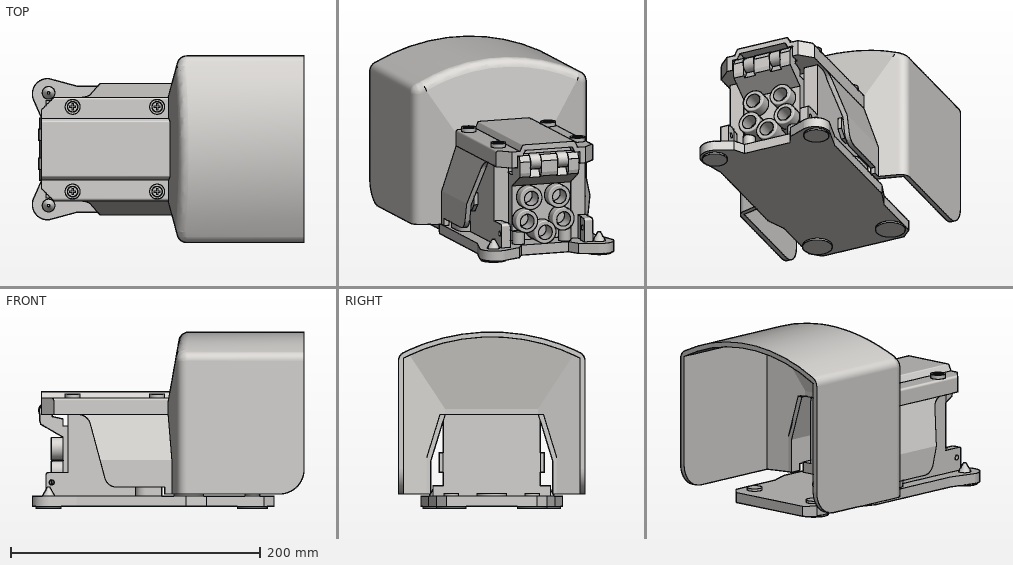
import cadquery as cq
import math


SIDES = (1, -1)

overall_length = 218.24
overall_height = 141.5
hood_width = 150.0

pad_thickness = 1.5
plate_thickness = 8.3
plate_top = pad_thickness + plate_thickness
lobe_radius = 12.5
lobe_x = lobe_radius
lobe_y = 44.3
lobe_start_angle = 198.0
lobe_end_angle = 87.0
plate_half_width = 50.7
plate_neck_start = 35.8
plate_neck_end = 123.2
plate_tail_start = 140.0
plate_tail_half_width = 44.5
plate_end = 194.0
plate_tail_chamfer = 8.2
notch_mouth_x = 7.3
notch_mouth_y = 25.2
notch_floor_x = 16.2
notch_floor_y = 20.3
front_foot = (13.1, 45.2)
front_pad_diameter = 20.3
rear_foot = (176.6, 32.5)
rear_pad_diameter = 24.0
cone_diameter = 10.2
cone_tip_diameter = 2.0
cone_height = 7.2
pivot_disc_x = 125.6
pivot_disc_diameter = 24.0
rear_disc_diameter = 12.0
disc_height = 2.0

housing_start = 28.6
housing_end = 104.0
housing_half_width = 39.0
housing_top = 75.2
channel_half_width = 26.7
channel_end = 36.6
lug_start = 10.9
lug_top = 28.7
lug_width = 7.3
lug_neck_start = 20.2
lug_neck_width = 6.3
lug_round = 2.0
lug_hole_diameter = 4.0
lug_hole_x = 15.7
lug_hole_z = 20.7
ear_start = 82.7
ear_top = 18.2
ear_reach = 8.3
side_block_start = 66.0
side_block_length = 14.0
side_block_bottom = 28.8
side_block_height = 15.8
side_block_bevel = 6.2
side_block_reach = 42.2

panel_start = 24.8
panel_half_width = 25.1
panel_bottom = 20.2
bar_bottom = 56.9
bar_front = 5.9
bar_top = 84.5
bar_end = 16.2
bar_bevel_depth = 2.6
bar_bevel_height = 4.8
bar_chin_depth = 0.9
bar_chin_z = 67.3
bar_face_bottom = 70.3
bar_shelf_front_z = 73.6
bar_shelf_back_z = 71.7
notch_bottom = 66.2
knuckle_diameter = 12.0
knuckle_x = 11.1
knuckle_z = bar_top - knuckle_diameter / 2
knuckle_y = 11.6
knuckle_width = 9.2
pocket_back = 12.0
pocket_knee_z = 72.8
pocket_front = 8.5
pocket_bottom = 66.3
entry_tip = 15.2
entry_diameter = 18.5
entry_bore_diameter = 11.8
entry_bore_depth = 14.0
entry_round = 0.8
entry_centres = ((12.0, 47.6), (-12.0, 47.6), (15.6, 28.9), (-15.6, 28.9), (0.0, 19.1))
post_diameter = 10.2
post_x = 24.2
post_y = 19.8

cover_start = 7.3
cover_end = 112.0
cover_half_width = 41.5
cover_top = 88.4
cover_round = 2.0
cover_corner_chamfer = 10.0
hump_top = 93.6
hump_half_width = 24.8
hump_top_half_width = 22.2
hump_round = 1.3
tunnel_end = bar_end
tunnel_top = 89.0
tunnel_half_width = 22.4
tunnel_top_half_width = 20.0
screw_x = (32.4, 100.2)
screw_y = 34.0
screw_collar_diameter = 12.0
screw_collar_height = 3.2
screw_recess_diameter = 8.5
screw_recess_depth = 1.5
screw_head_diameter = 8.0
screw_head_height = 1.0
screw_slot_length = 5.0
screw_slot_width = 1.2

hood_bottom = 11.3
hood_wall = 4.0
hood_round = 8.0
hood_crown_radius = 160.0
hood_rear_round = 20.0
hood_side_tilt = 15.0
hood_brow_tilt = 10.0
hood_ridge_x = 109.2
hood_ridge_y = 42.2
hood_ridge_z = 86.6

skirt_thickness = 4.0
skirt_foot_y = 52.8
skirt_knee_z = 38.6
skirt_flare = 17.1
skirt_end = 116.0
skirt_start = 44.6
skirt_slope = 15.0
skirt_round = 10.0
skirt_slot_top = 16.9
skirt_slot_end = 106.2


def box(x_range, y_range, z_range):
    """Box between the given limits along each axis."""
    size = [high - low for low, high in (x_range, y_range, z_range)]
    return (
        cq.Workplane("XY")
        .box(*size, centered=False)
        .translate((x_range[0], y_range[0], z_range[0]))
    )


def upright(centre, diameter, z_bottom, height):
    """Vertical cylinder at an (x, y) centre."""
    return cq.Workplane("XY", origin=(*centre, z_bottom)).circle(diameter / 2).extrude(height)


def section_along_x(points, x_start, x_end):
    """Prism of a closed (y, z) outline from x_start to x_end."""
    return cq.Workplane("YZ", origin=(x_start, 0, 0)).polyline(points).close().extrude(x_end - x_start)


def section_along_y(points, y_low, y_high):
    """Prism of a closed (x, z) outline from y_low to y_high."""
    return cq.Workplane("XZ", origin=(0, y_high, 0)).polyline(points).close().extrude(y_high - y_low)


def mirrored(shape):
    """The shape together with its mirror image across the XZ plane."""
    return shape.union(shape.mirror("XZ"))


def lobe_point(angle):
    """Point on the rounded front corner of the base plate."""
    turn = math.radians(angle)
    return (lobe_x + lobe_radius * math.cos(turn), lobe_y + lobe_radius * math.sin(turn))


def make_base_plate():
    """Plate with rounded front lobes, guide cones, rubber pads and the discs inside the hood."""
    half_plate = (
        cq.Workplane("XY", origin=(0, 0, pad_thickness))
        .moveTo(notch_floor_x, 0)
        .lineTo(notch_floor_x, notch_floor_y)
        .lineTo(notch_mouth_x, notch_mouth_y)
        .lineTo(*lobe_point(lobe_start_angle))
        .threePointArc(lobe_point((lobe_start_angle + lobe_end_angle) / 2), lobe_point(lobe_end_angle))
        .lineTo(plate_neck_start, plate_half_width)
        .lineTo(plate_neck_end, plate_half_width)
        .lineTo(plate_tail_start, plate_tail_half_width)
        .lineTo(plate_end - plate_tail_chamfer, plate_tail_half_width)
        .lineTo(plate_end, plate_tail_half_width - plate_tail_chamfer)
        .lineTo(plate_end, 0)
        .close()
        .extrude(plate_thickness)
    )
    cone = (
        cq.Workplane("XY", origin=(*front_foot, plate_top))
        .circle(cone_diameter / 2)
        .workplane(offset=cone_height)
        .circle(cone_tip_diameter / 2)
        .loft()
    )
    half_plate = (
        half_plate.union(cone)
        .union(upright(front_foot, front_pad_diameter, 0, pad_thickness))
        .union(upright(rear_foot, rear_pad_diameter, 0, pad_thickness))
        .union(upright(rear_foot, rear_disc_diameter, plate_top, disc_height))
    )
    return mirrored(half_plate).union(
        upright((pivot_disc_x, 0), pivot_disc_diameter, plate_top, disc_height)
    )


def make_housing():
    """Housing walls around the cable channel, with front lugs, side blocks and rear ears."""
    body = box(
        (housing_start, housing_end),
        (-housing_half_width, housing_half_width),
        (plate_top, housing_top),
    )
    channel = box(
        (housing_start, channel_end),
        (-channel_half_width, channel_half_width),
        (plate_top, housing_top),
    )
    lug = (
        box(
            (lug_start, housing_start),
            (housing_half_width - lug_width, housing_half_width),
            (plate_top, lug_top),
        )
        .edges("<X and >Z")
        .fillet(lug_round)
    )
    neck_gap = box(
        (lug_neck_start, housing_start),
        (housing_half_width - lug_width, housing_half_width - lug_neck_width),
        (plate_top, lug_top),
    )
    lug_hole = (
        cq.Workplane("XZ", origin=(lug_hole_x, housing_half_width, lug_hole_z))
        .circle(lug_hole_diameter / 2)
        .extrude(lug_width)
    )
    ear_centre = (ear_start + ear_reach, housing_half_width)
    ear = box(
        (ear_centre[0], housing_end),
        (housing_half_width, housing_half_width + ear_reach),
        (plate_top, ear_top),
    ).union(upright(ear_centre, 2 * ear_reach, plate_top, ear_top - plate_top))
    block_end = side_block_start + side_block_length
    block_top = side_block_bottom + side_block_height
    side_block = section_along_y(
        [
            (side_block_start, block_top),
            (side_block_start, side_block_bottom + side_block_bevel),
            (side_block_start + side_block_bevel, side_block_bottom),
            (block_end, side_block_bottom),
            (block_end, block_top),
        ],
        housing_half_width,
        side_block_reach,
    )
    attachments = lug.cut(lug_hole).cut(neck_gap).union(ear).union(side_block)
    return body.cut(channel).union(mirrored(attachments))


def make_entry(y, z):
    """Round cable entry, from its rounded tip to the back of the panel."""
    return (
        cq.Workplane("YZ", origin=(entry_tip, y, z))
        .circle(entry_diameter / 2)
        .extrude(channel_end - entry_tip)
        .faces("<X")
        .edges()
        .fillet(entry_round)
    )


def make_entry_bore(y, z):
    """Blind bore of a cable entry."""
    return (
        cq.Workplane("YZ", origin=(entry_tip, y, z))
        .circle(entry_bore_diameter / 2)
        .extrude(entry_bore_depth)
    )


def make_cable_panel():
    """Panel with the hinge bar along its top edge, the hinge knuckles, posts and cable entries."""
    bar_bevel_bottom = bar_top - bar_bevel_height
    profile = [
        (panel_start, panel_bottom),
        (panel_start, bar_bottom),
        (bar_front + bar_chin_depth, bar_chin_z),
        (bar_front, bar_face_bottom),
        (bar_front, bar_bevel_bottom),
        (bar_front + bar_bevel_depth, bar_top),
        (bar_end, bar_top),
        (bar_end, bar_shelf_front_z),
        (panel_start, bar_shelf_back_z),
        (panel_start, notch_bottom),
        (channel_end, notch_bottom),
        (channel_end, panel_bottom),
    ]
    panel = section_along_y(profile, -panel_half_width, panel_half_width)

    pocket_profile = [
        (0, bar_top),
        (knuckle_x, bar_top),
        (pocket_back, pocket_knee_z),
        (pocket_front, pocket_bottom),
        (0, pocket_bottom),
    ]
    for side in SIDES:
        low = side * knuckle_y - knuckle_width / 2
        high = side * knuckle_y + knuckle_width / 2
        knuckle = (
            cq.Workplane("XZ", origin=(knuckle_x, high, knuckle_z))
            .circle(knuckle_diameter / 2)
            .extrude(knuckle_width)
        )
        panel = panel.cut(section_along_y(pocket_profile, low, high)).union(knuckle)
        panel = panel.union(
            upright((post_x, side * post_y), post_diameter, plate_top, panel_bottom - plate_top)
        )
    for y, z in entry_centres:
        panel = panel.union(make_entry(y, z))
    for y, z in entry_centres:
        panel = panel.cut(make_entry_bore(y, z))
    return panel


def make_screw():
    """Collar with a recessed cross-slot screw head, standing on the cover at the origin."""
    floor = screw_collar_height - screw_recess_depth
    collar = upright((0, 0), screw_collar_diameter, 0, screw_collar_height)
    recess = upright((0, 0), screw_recess_diameter, floor, screw_recess_depth)
    head = upright((0, 0), screw_head_diameter, floor, screw_head_height)
    slot = cq.Workplane("XY").box(
        screw_slot_length, screw_slot_width, 2 * screw_head_height
    ).translate((0, 0, floor + screw_head_height))
    cross = slot.union(slot.rotate((0, 0, 0), (0, 0, 1), 90))
    return collar.cut(recess).union(head.cut(cross))


def make_cover():
    """Cover with a raised middle, hollowed at the cable end, and its four screws."""
    slab = box(
        (cover_start, cover_end), (-cover_half_width, cover_half_width), (housing_top, cover_top)
    )
    slab = slab.edges("|Z and <X").chamfer(cover_corner_chamfer)
    slab = slab.edges("|X and >Z").fillet(cover_round)
    hump = section_along_x(
        [
            (-hump_half_width, cover_top),
            (-hump_top_half_width, hump_top),
            (hump_top_half_width, hump_top),
            (hump_half_width, cover_top),
        ],
        cover_start,
        cover_end,
    )
    hump = hump.edges("|X and >Z").fillet(hump_round)
    tunnel = section_along_x(
        [
            (-tunnel_half_width, bar_top),
            (-tunnel_top_half_width, tunnel_top),
            (tunnel_top_half_width, tunnel_top),
            (tunnel_half_width, bar_top),
        ],
        cover_start,
        tunnel_end,
    )
    mouth = box(
        (cover_start, tunnel_end),
        (-channel_half_width, channel_half_width),
        (housing_top, bar_top),
    )
    cover = slab.union(hump).cut(tunnel).cut(mouth)
    for x in screw_x:
        for side in SIDES:
            cover = cover.union(make_screw().translate((x, side * screw_y, cover_top)))
    return cover


def make_hood_block(inset):
    """Hood shape with all of its walls moved inwards by inset; the bottom and rear stay in place."""
    half_width = hood_width / 2 - inset
    crown_radius = hood_crown_radius - inset
    crown_centre_z = overall_height - hood_crown_radius
    shoulder_z = crown_centre_z + math.sqrt(crown_radius**2 - half_width**2)
    far = overall_length
    block = (
        cq.Workplane("YZ")
        .moveTo(-half_width, hood_bottom)
        .lineTo(-half_width, shoulder_z)
        .threePointArc((0, overall_height - inset), (half_width, shoulder_z))
        .lineTo(half_width, hood_bottom)
        .close()
        .extrude(overall_length)
    )
    side_angle = math.radians(hood_side_tilt)
    brow_angle = math.radians(hood_brow_tilt)
    side_x = hood_ridge_x + inset / math.cos(side_angle) - hood_ridge_y * math.tan(side_angle)
    brow_x = hood_ridge_x + inset / math.cos(brow_angle) - hood_ridge_z * math.tan(brow_angle)
    behind_sides = (
        cq.Workplane("XY")
        .polyline(
            [
                (side_x, 0),
                (side_x + far * math.tan(side_angle), far),
                (2 * far, far),
                (2 * far, -far),
                (side_x + far * math.tan(side_angle), -far),
            ]
        )
        .close()
        .extrude(overall_height)
    )
    behind_brow = section_along_y(
        [(brow_x, 0), (brow_x + far * math.tan(brow_angle), far), (2 * far, far), (2 * far, 0)],
        -hood_width,
        hood_width,
    )
    return block.intersect(behind_sides).intersect(behind_brow)


def make_skirt_outline(inset):
    """Closed (y, z) outline of the tunnel the skirt wraps around, moved inwards by inset."""
    flare = math.radians(skirt_flare)
    foot_y = skirt_foot_y - inset
    knee_z = skirt_knee_z - inset * math.tan(flare / 2)
    top_y = foot_y - (housing_top - knee_z) * math.tan(flare)
    return [
        (-foot_y, hood_bottom),
        (-foot_y, knee_z),
        (-top_y, housing_top),
        (top_y, housing_top),
        (foot_y, knee_z),
        (foot_y, hood_bottom),
    ]


def make_skirt():
    """Flared sheet on both sides of the housing, with a curved front edge and a slot for the ear."""
    run = (housing_top - skirt_slot_top) * math.tan(math.radians(skirt_slope))
    side_shape = (
        cq.Workplane("XZ", origin=(0, skirt_foot_y, 0))
        .moveTo(skirt_start - skirt_round, housing_top)
        .lineTo(skirt_start, housing_top)
        .lineTo(skirt_start + run, skirt_slot_top)
        .lineTo(skirt_slot_end, skirt_slot_top)
        .lineTo(skirt_slot_end, hood_bottom)
        .lineTo(skirt_end, hood_bottom)
        .lineTo(skirt_end, housing_top + skirt_round)
        .lineTo(skirt_start - skirt_round, housing_top + skirt_round)
        .close()
        .extrude(2 * skirt_foot_y)
    )
    margin = skirt_round / 2
    sloped_edge_ends = cq.selectors.BoxSelector(
        (skirt_start - margin, -hood_width, skirt_slot_top - margin),
        (skirt_start + run + margin, hood_width, housing_top + margin),
    )
    side_shape = side_shape.edges("|Y").edges(sloped_edge_ends).fillet(skirt_round)
    tube = section_along_x(make_skirt_outline(0), skirt_start - skirt_round, skirt_end)
    hollow = section_along_x(make_skirt_outline(skirt_thickness), 0, skirt_end)
    return tube.cut(hollow).intersect(side_shape)


def make_hood():
    """Hollow hood, open below and at the rear, with a passage for the housing."""
    block = make_hood_block(0)
    side_faces = block.faces(">Y or <Y")
    corners = side_faces.edges("<X").vals() + side_faces.edges(">Z").vals()
    brow_edges = block.edges("%ELLIPSE").vals()
    shell = cq.Workplane(block.val().fillet(hood_round, corners + brow_edges))
    shell = shell.edges("|Y and >X and <Z").fillet(hood_rear_round)
    shell = shell.cut(make_hood_block(hood_wall))
    passage = section_along_x(make_skirt_outline(skirt_thickness), 0, overall_length)
    return shell.cut(passage)


result = (
    make_base_plate()
    .union(make_housing())
    .union(make_cable_panel())
    .union(make_cover())
    .union(make_hood())
    .union(make_skirt())
)